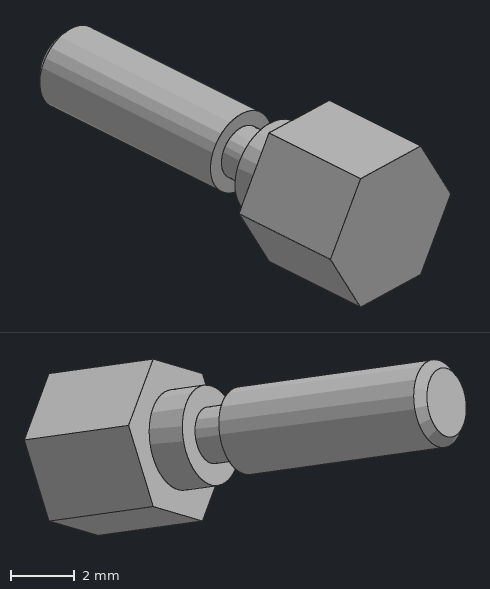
import cadquery as cq
import math

total_length = 14.27
hex_length = 4.0
hex_across_flats = 4.75
collar_length = 1.27
collar_diameter = 3.2
neck_length = 1.25
neck_diameter = 1.8
shank_diameter = 2.8
tip_chamfer = 0.3

hex_start = total_length - hex_length
collar_start = hex_start - collar_length
shank_length = collar_start - neck_length

hex_across_corners = hex_across_flats / math.cos(math.pi / 6)


def section_at(x):
    """Workplane normal to the axis, extruding toward +X."""
    return cq.Workplane("YZ", origin=(x, 0, 0))


def make_screw():
    """Chamfered shank with the reduced neck that meets the collar."""
    shank = section_at(0).circle(shank_diameter / 2).extrude(shank_length)
    shank = shank.faces("<X").chamfer(tip_chamfer)
    neck = section_at(shank_length).circle(neck_diameter / 2).extrude(neck_length)
    return shank.union(neck)


def make_collar():
    """Plain round collar between the neck and the hexagonal head."""
    return section_at(collar_start).circle(collar_diameter / 2).extrude(collar_length)


def make_hex_head():
    """Hexagonal head with corners pointing along Y and flats facing Z."""
    return section_at(hex_start).polygon(6, hex_across_corners).extrude(hex_length)


screw = make_screw()
collar = make_collar()
hex_head = make_hex_head()

result = cq.Compound.makeCompound([screw.val(), collar.val(), hex_head.val()])